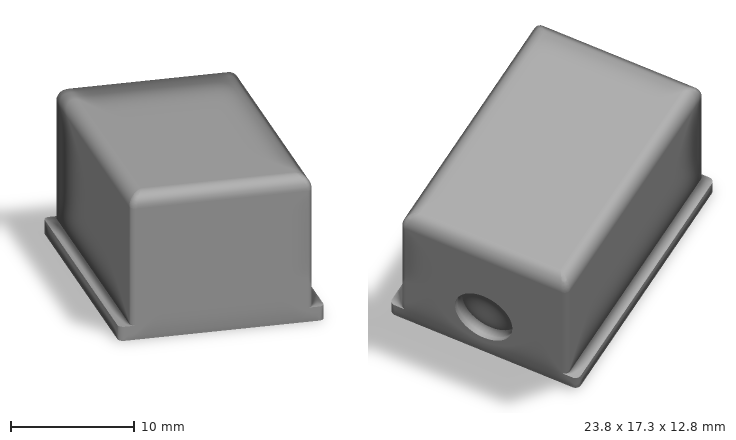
import cadquery as cq

length = 23.8
flange_width = 17.3
height = 12.75

cover_width = 15.3
flange_thickness = 1.24
corner_radius = 0.5
top_radius = 1.21

recess_diameter = 5.25
recess_height = 4.35
recess_depth = 1.24


def standing_block(width, block_height):
    """Full-length block standing on Z = 0, centred in X and Y."""
    return cq.Workplane("XY").box(length, width, block_height, centered=(True, True, False))


cover = standing_block(cover_width, height)
cover = cover.faces(">Z").edges().fillet(top_radius)
cover = cover.edges("|Z").fillet(corner_radius)

flange = standing_block(flange_width, flange_thickness).edges("|Z").fillet(corner_radius)

recess = (
    cq.Workplane("YZ", origin=(-length / 2, 0, recess_height))
    .circle(recess_diameter / 2)
    .extrude(recess_depth)
)

result = cover.union(flange).cut(recess)